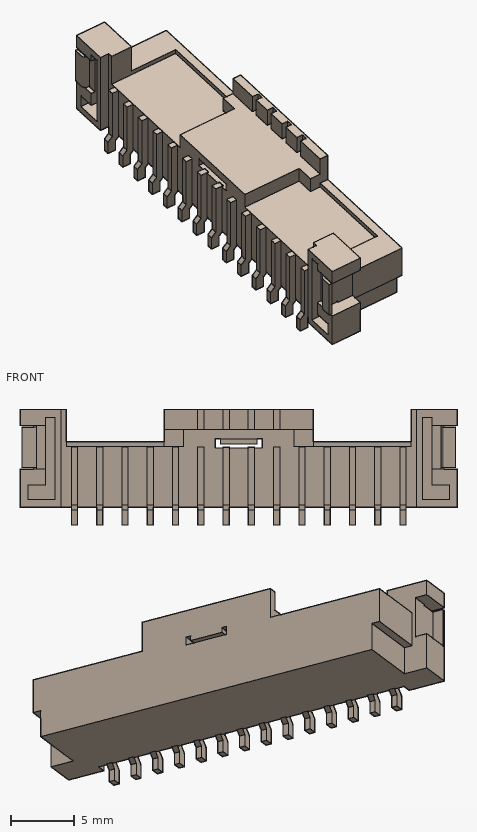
import cadquery as cq


body_width = 31.9
lower_body_width = 30.5
side_ledge_z = 2.3
body_depth = 7.0
rim_z = 5.2
rim_thickness = 0.75
deck_z = 4.8
deck_width = 27.3

centre_z = 6.15
centre_width = 8.75
shoulder_width = 11.8
shoulder_depth = 1.7
overall_top_z = 7.75
key_wall_thickness = 0.75
key_slot_width = 0.5
key_slot_depth = 0.55
key_slot_count = 4
contact_pitch = 2.0

window_width = 3.7
window_bottom_z = 4.72
window_top_z = 5.42
latch_width = 2.9
latch_bottom_z = 5.0
latch_depth = 1.0

ear_outer_x = 17.3
ear_inner_x = 14.05
ear_rear_depth = 5.05
ear_front_depth = 7.8
pocket_inner_x = 14.55
pocket_step_x = 15.3
pocket_foot_x = 16.7
pocket_bottom_z = 0.63
pocket_foot_z = 1.77
pocket_top_z = 7.1
pocket_depth = 2.5
notch_bottom_z = 3.03
notch_top_z = 6.47
notch_wall_x = 16.25
notch_wall_setback = 0.35

tab_outer_x = 17.17
tab_clearance = 0.11
tab_thickness = 0.25
tab_bend_radius = 0.35
tab_rear_depth = 6.5
overall_depth = 8.0

contact_count = 14
contact_width = 0.5
contact_top_z = 4.77
contact_bottom_z = -1.4
contact_front_depth = 7.58
bend_height = 0.2
leg_thickness = 0.75
heel_depth = 6.85


def block(x0, x1, depth0, depth1, z0, z1):
    """Box between two X values, two depths measured forward from the rear face and two heights."""
    size = (x1 - x0, depth1 - depth0, z1 - z0)
    return cq.Workplane("XY").box(*size, centered=False).translate((x0, -depth1, z0))


def centred_block(width, depth0, depth1, z0, z1):
    return block(-width / 2, width / 2, depth0, depth1, z0, z1)


def side_profile(points, width, centre_x):
    """Extrude an outline of (depth, z) points to a width centred on an X value."""
    outline = cq.Workplane("YZ").polyline([(-depth, z) for depth, z in points]).close()
    return outline.extrude(width / 2, both=True).translate((centre_x, 0, 0))


def row_positions(count):
    return [(i - (count - 1) / 2) * contact_pitch for i in range(count)]


def make_housing():
    lower = centred_block(lower_body_width, 0, body_depth, 0, side_ledge_z)
    upper = centred_block(body_width, 0, body_depth, side_ledge_z, rim_z)
    sunken = centred_block(deck_width, rim_thickness, body_depth, deck_z, rim_z)
    shoulder = centred_block(shoulder_width, 0, shoulder_depth, deck_z, centre_z)
    centre = centred_block(centre_width, 0, body_depth, deck_z, centre_z)
    return lower.union(upper).cut(sunken).union(shoulder).union(centre)


def make_key_wall():
    wall = centred_block(shoulder_width, 0, key_wall_thickness, centre_z, overall_top_z)
    slot = centred_block(
        key_slot_width, key_wall_thickness - key_slot_depth, key_wall_thickness, centre_z, overall_top_z
    )
    for x in row_positions(key_slot_count):
        wall = wall.cut(slot.translate((x, 0, 0)))
    return wall


def make_window():
    """Window opening, less the ramped latch that hangs from its ceiling at the rear."""
    opening = centred_block(window_width, 0, body_depth, window_bottom_z, window_top_z)
    ramp_run = window_top_z - latch_bottom_z
    latch = side_profile(
        [
            (0, latch_bottom_z),
            (latch_depth, latch_bottom_z),
            (latch_depth - ramp_run, window_top_z),
            (0, window_top_z),
        ],
        latch_width,
        0,
    )
    return opening.cut(latch)


def notch_cut(x0, x1, depth0, depth1):
    """Box spanning the full height of the side notch."""
    return block(x0, x1, depth0, depth1, notch_bottom_z, notch_top_z)


def make_ear():
    """Ear at the +X end, with its side notch and the slot for the solder tab."""
    ear = block(ear_inner_x, ear_outer_x, ear_rear_depth, ear_front_depth, 0, overall_top_z)
    web = block(deck_width / 2, ear_inner_x, ear_rear_depth, body_depth, 0, overall_top_z)
    notch = notch_cut(notch_wall_x, ear_outer_x, ear_rear_depth, ear_front_depth)
    tab_slot = notch_cut(notch_wall_x - tab_thickness, notch_wall_x, tab_rear_depth, ear_front_depth)
    wall_relief = notch_cut(
        pocket_step_x, notch_wall_x, ear_front_depth - notch_wall_setback, ear_front_depth
    )
    return ear.union(web).cut(notch).cut(tab_slot).cut(wall_relief)


def make_pocket():
    pocket_rear = ear_front_depth - pocket_depth
    upright = block(
        pocket_inner_x, pocket_step_x, pocket_rear, ear_front_depth, pocket_bottom_z, pocket_top_z
    )
    foot = block(
        pocket_inner_x, pocket_foot_x, pocket_rear, ear_front_depth, pocket_bottom_z, pocket_foot_z
    )
    return upright.union(foot)


def make_tab():
    """L-shaped solder tab at the +X end, its leg flush with the notch wall."""
    leg_x = notch_wall_x - tab_thickness
    tab_bottom_z = notch_bottom_z + tab_clearance
    tab_top_z = notch_top_z - tab_clearance
    foot = block(
        leg_x, tab_outer_x, overall_depth - tab_thickness, overall_depth, tab_bottom_z, tab_top_z
    )
    leg = block(leg_x, notch_wall_x, tab_rear_depth, overall_depth, tab_bottom_z, tab_top_z)
    return foot.union(leg).edges("|Z and <X and <Y").fillet(tab_bend_radius)


def make_contact(x):
    leg_rear = overall_depth - leg_thickness
    heel_drop = leg_rear - heel_depth
    outline = [
        (heel_depth, contact_top_z),
        (contact_front_depth, contact_top_z),
        (contact_front_depth, bend_height),
        (overall_depth, -bend_height),
        (overall_depth, contact_bottom_z),
        (leg_rear, contact_bottom_z),
        (leg_rear, -heel_drop),
        (heel_depth, 0),
    ]
    return side_profile(outline, contact_width, x)


housing = make_housing().union(make_key_wall()).cut(make_window())
end_parts = make_ear().union(make_tab())
pocket = make_pocket()

result = housing
for end in (end_parts, end_parts.mirror("YZ")):
    result = result.union(end)
for cavity in (pocket, pocket.mirror("YZ")):
    result = result.cut(cavity)
for contact_x in row_positions(contact_count):
    result = result.union(make_contact(contact_x))